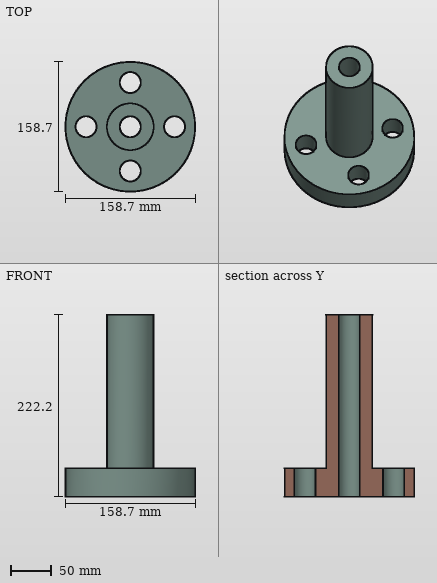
import cadquery as cq

total_height = 222.2
flange_diameter = 158.7
flange_thickness = 35.1

neck_diameter = 57.1
bore_diameter = 25.3

bolt_circle_diameter = 108.0
bolt_hole_diameter = 25.3
bolt_hole_count = 4


def make_flange():
    """Round plate with evenly spaced bolt holes, resting on Z = 0."""
    plate = cq.Workplane("XY").circle(flange_diameter / 2).extrude(flange_thickness)
    bolt_holes = (
        cq.Workplane("XY")
        .polarArray(bolt_circle_diameter / 2, 0, 360, bolt_hole_count)
        .circle(bolt_hole_diameter / 2)
        .extrude(flange_thickness)
    )
    return plate.cut(bolt_holes)


def make_neck():
    """Solid cylinder standing on the flange axis."""
    return cq.Workplane("XY").circle(neck_diameter / 2).extrude(total_height)


def make_bore():
    """Cylinder that opens the part along its whole axis."""
    return cq.Workplane("XY").circle(bore_diameter / 2).extrude(total_height)


result = make_flange().union(make_neck()).cut(make_bore())